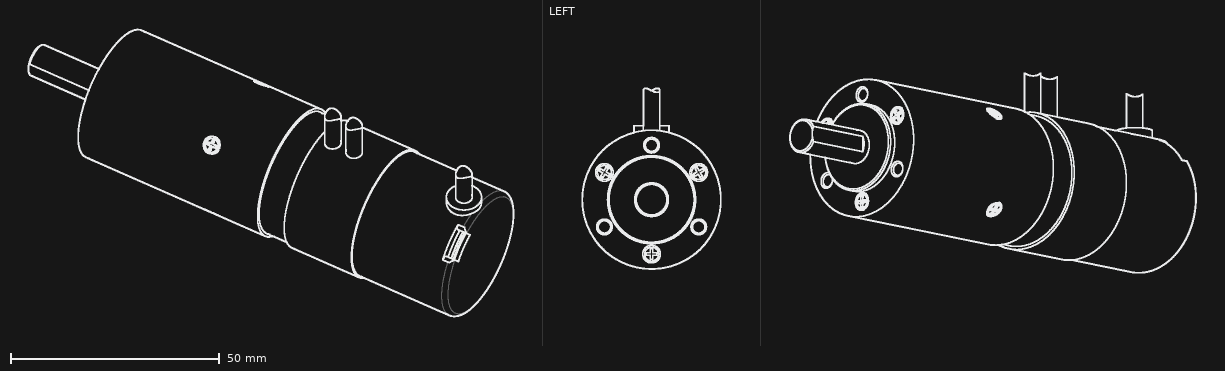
import cadquery as cq
import math

total_length = 124.3
total_height = 43.4

shaft_diameter = 8.1
shaft_chamfer = 0.4
flat_length = 18.0
flat_width = 3.7

pilot_start = 19.9
pilot_diameter = 21.1
pilot_chamfer = 0.4

body_diameter = 33.3
neck_diameter = 31.8
rear_diameter = 32.6
gearbox_start = 21.8
neck_start = 72.0
middle_start = 79.4
rear_start = 98.2
rear_fillet = 1.1

cable_diameter = 4.0
cable_top = total_height - body_diameter / 2
middle_cable_places = (83.0, 89.0)
rear_cable_place = 119.7
cable_trough_depth = 1.0
cable_trough_angle = 45
collar_diameter = 8.5
collar_top = 17.8

bolt_circle_radius = 13.0
screw_angles = (30, 150, 270)
threaded_hole_angles = (90, 210, 330)
screw_diameter = 4.2
screw_head_diameter = 3.4
screw_recess_depth = 0.5
screw_slot_width = 0.6
screw_slot_length = 2.5
screw_slot_depth = 1.1
threaded_hole_diameter = 3.0
threaded_hole_chamfer = 0.4
threaded_hole_depth = 7.5
drill_point_height = 0.9
side_screw_place = 56.2
side_screw_angles = (45, 135, 225, 315)

notch_start = 121.8
notch_angle = 39
notch_width = 7.0
notch_lip_radius = 1.1
notch_lip_height = 15.5

notch_floor_steps = ((122.7, 26.8), (123.2, 26.4), (total_length, 24.9))


def turned(start, end, diameter):
    """Round section centred on the X axis."""
    return cq.Workplane("YZ", origin=(start, 0, 0)).circle(diameter / 2).extrude(end - start)


def make_housing():
    pilot = turned(pilot_start, gearbox_start, pilot_diameter).faces("<X").chamfer(pilot_chamfer)
    rear = turned(rear_start, total_length, rear_diameter).faces(">X").edges().fillet(rear_fillet)
    return (
        pilot
        .union(turned(gearbox_start, neck_start, body_diameter))
        .union(turned(neck_start, middle_start, neck_diameter))
        .union(turned(middle_start, rear_start, body_diameter))
        .union(rear)
    )


def make_shaft():
    shaft = turned(0, pilot_start, shaft_diameter).faces("<X").chamfer(shaft_chamfer)
    flat_distance = math.sqrt((shaft_diameter / 2) ** 2 - (flat_width / 2) ** 2)
    waste = cq.Workplane("XY").box(
        flat_length, shaft_diameter, shaft_diameter, centered=(False, False, True)
    ).translate((0, -flat_distance - shaft_diameter, 0))
    return shaft.cut(waste)


def make_cable(place):
    """Vertical cable rooted on the motor axis, with a hollowed end."""
    radius = cable_diameter / 2
    cable = cq.Workplane("XY", origin=(place, 0, 0)).circle(radius).extrude(cable_top)
    trough = (
        cq.Workplane("YZ")
        .moveTo(-radius, cable_top)
        .threePointArc((0, cable_top - cable_trough_depth), (radius, cable_top))
        .close()
        .extrude(radius * 2, both=True)
        .rotate((0, 0, 0), (0, 0, 1), cable_trough_angle)
        .translate((place, 0, 0))
    )
    return cable.cut(trough)


def make_collar():
    """Round collar under the rear cable."""
    return (
        cq.Workplane("XY", origin=(rear_cable_place, 0, 0))
        .circle(collar_diameter / 2)
        .extrude(collar_top)
    )


def make_screw_recess():
    """Annular gap and cross slot of a screw whose flush head faces +Z at the origin."""
    gap = (
        cq.Workplane("XY").circle(screw_diameter / 2).circle(screw_head_diameter / 2)
        .extrude(-screw_recess_depth)
    )
    slot = cq.Workplane("XY").rect(screw_slot_length, screw_slot_width).extrude(-screw_slot_depth)
    cross = slot.union(slot.rotate((0, 0, 0), (0, 0, 1), 90))
    return gap.union(cross)


def make_threaded_hole():
    """Countersunk blind hole with a drill point that opens towards +Z at the origin."""
    radius = threaded_hole_diameter / 2
    mouth = radius + threaded_hole_chamfer
    return (
        cq.Workplane("XZ")
        .polyline([
            (0, 0), (mouth, 0), (radius, -threaded_hole_chamfer),
            (radius, -threaded_hole_depth), (0, -threaded_hole_depth - drill_point_height),
        ])
        .close()
        .revolve(360, (0, 0, 0), (0, 1, 0))
    )


def on_front_face(tool, angle):
    """Turn a +Z facing tool towards -X and place it on the bolt circle."""
    return (
        tool.rotate((0, 0, 0), (0, 1, 0), -90)
        .translate((gearbox_start, bolt_circle_radius, 0))
        .rotate((0, 0, 0), (1, 0, 0), angle)
    )


def make_notch():
    """Opening in the rear rim, cut from +Z and turned towards -Y, over a stepped round floor."""
    half_width = notch_width / 2
    half_mouth = half_width + notch_lip_radius
    lip_foot = notch_lip_height - notch_lip_radius
    lip_inset = notch_lip_radius * (1 - math.sqrt(0.5))
    lip_middle = (half_width + lip_inset, notch_lip_height - lip_inset)
    opening = (
        cq.Workplane("YZ", origin=(notch_start, 0, 0))
        .moveTo(-half_width, 0)
        .lineTo(half_width, 0)
        .lineTo(half_width, lip_foot)
        .threePointArc(lip_middle, (half_mouth, notch_lip_height))
        .lineTo(half_mouth, body_diameter / 2)
        .lineTo(-half_mouth, body_diameter / 2)
        .lineTo(-half_mouth, notch_lip_height)
        .threePointArc((-lip_middle[0], lip_middle[1]), (-half_width, lip_foot))
        .close()
        .extrude(total_length - notch_start)
        .rotate((0, 0, 0), (1, 0, 0), notch_angle)
    )
    step_start = notch_start
    for step_end, diameter in notch_floor_steps:
        opening = opening.cut(turned(step_start, step_end, diameter))
        step_start = step_end
    return opening


result = make_housing().union(make_shaft())

for place in (*middle_cable_places, rear_cable_place):
    result = result.union(make_cable(place))
result = result.union(make_collar())

screw_recess = make_screw_recess()
for angle in screw_angles:
    result = result.cut(on_front_face(screw_recess, angle))
for angle in threaded_hole_angles:
    result = result.cut(on_front_face(make_threaded_hole(), angle))

side_screw = screw_recess.translate((side_screw_place, 0, body_diameter / 2))
for angle in side_screw_angles:
    result = result.cut(side_screw.rotate((0, 0, 0), (1, 0, 0), angle))

result = result.cut(make_notch())